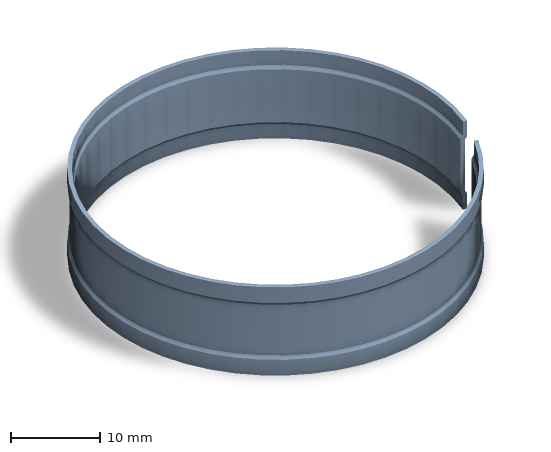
import cadquery as cq
import math

outer_radius = 23.35
height = 12.1
wall = 0.5
gap_width = 3.95

rim_height = 2.15
taper_height = 0.4
recess_depth = 0.3

rim_inner_radius = outer_radius - wall
recess_outer_radius = outer_radius - recess_depth
recess_inner_radius = recess_outer_radius - wall

taper_bottom = rim_height
recess_bottom = rim_height + taper_height
recess_top = height - recess_bottom
taper_top = height - taper_bottom

taper_angle = math.atan2(recess_depth, taper_height)
corner_shift = wall * math.tan(taper_angle / 2)


def wall_profile():
    """Closed radial section of the wall, with radius along X and height along Z."""
    outer_side = [
        (outer_radius, 0),
        (outer_radius, taper_bottom),
        (recess_outer_radius, recess_bottom),
        (recess_outer_radius, recess_top),
        (outer_radius, taper_top),
        (outer_radius, height),
    ]
    inner_side = [
        (rim_inner_radius, height),
        (rim_inner_radius, taper_top + corner_shift),
        (recess_inner_radius, recess_top + corner_shift),
        (recess_inner_radius, recess_bottom - corner_shift),
        (rim_inner_radius, taper_bottom - corner_shift),
        (rim_inner_radius, 0),
    ]
    return cq.Workplane("XZ").polyline(outer_side + inner_side).close()


def split_ring():
    """Ring with radial end faces and its gap centred on +Y."""
    half_gap_angle = math.degrees(math.asin(gap_width / 2 / outer_radius))
    sweep_angle = 360 - 2 * half_gap_angle
    start_angle = 90 + half_gap_angle
    ring = wall_profile().revolve(sweep_angle, (0, 0, 0), (0, 1, 0))
    return ring.rotate((0, 0, 0), (0, 0, 1), start_angle)


result = split_ring()